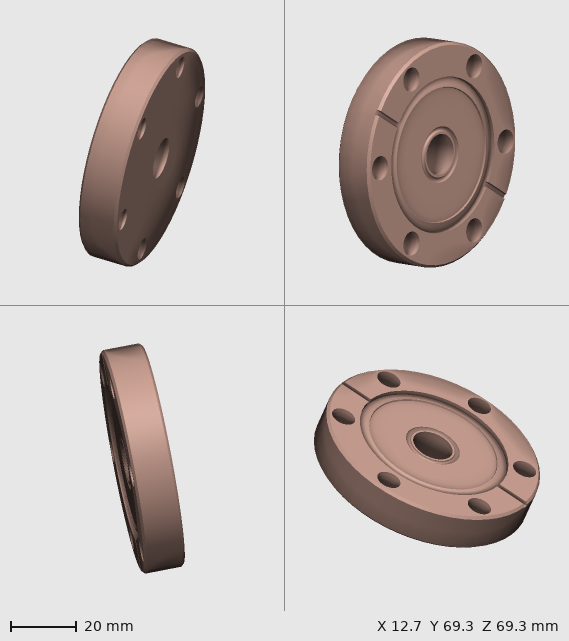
import cadquery as cq
import math

flange_diameter = 69.34
flange_thickness = 12.7
rim_chamfer = 0.8

recess_radius = 24.1
recess_depth = 1.6
recess_floor_width = 0.25
knife_radius = 21.0
knife_angle = 20.0
knife_tip_width = 0.15
inner_face_radius = 20.68
inner_face_depth = 1.1

bore_diameter = 12.8
relief_inner_radius = 7.07
relief_outer_radius = 8.70

bolt_count = 6
bolt_circle_diameter = 58.7
bolt_hole_diameter = 6.8
bolt_hole_mouth_diameter = 7.5
bolt_taper_depth = 2.7

leak_groove_width = 1.65
leak_groove_depth = 1.2
leak_groove_angle = 30.0

flange_radius = flange_diameter / 2
cone_outer_radius = recess_radius - recess_floor_width
cone_height = (cone_outer_radius - knife_radius) * math.tan(math.radians(knife_angle))
knife_tip_depth = recess_depth - cone_height


def revolve_about_x(profile):
    """Turn a profile drawn as (x, radius) about the flange axis."""
    return profile.close().revolve(360, (0, 0, 0), (1, 0, 0))


def flange_blank():
    disc = cq.Workplane("YZ").circle(flange_radius).extrude(flange_thickness)
    return disc.edges().chamfer(rim_chamfer)


def seal_recess():
    """Recess whose sloped floor rises inward to the knife edge, then drops to the inner face."""
    profile = (
        cq.Workplane("XY")
        .lineTo(0, recess_radius)
        .lineTo(recess_depth, recess_radius)
        .lineTo(recess_depth, cone_outer_radius)
        .lineTo(knife_tip_depth, knife_radius)
        .lineTo(knife_tip_depth, knife_radius - knife_tip_width)
        .lineTo(inner_face_depth, inner_face_radius)
        .lineTo(inner_face_depth, 0)
    )
    return revolve_about_x(profile)


def weld_relief():
    mid_radius = (relief_inner_radius + relief_outer_radius) / 2
    relief_radius = (relief_outer_radius - relief_inner_radius) / 2
    profile = (
        cq.Workplane("XY")
        .moveTo(inner_face_depth, relief_inner_radius)
        .threePointArc(
            (inner_face_depth + relief_radius, mid_radius),
            (inner_face_depth, relief_outer_radius),
        )
    )
    return revolve_about_x(profile)


def bore():
    return cq.Workplane("YZ").circle(bore_diameter / 2).extrude(flange_thickness)


def bolt_holes():
    """Through holes on the bolt circle, each with a tapered mouth."""
    hole_radius = bolt_hole_diameter / 2
    hole = cq.Workplane("YZ").circle(hole_radius).extrude(flange_thickness)
    mouth = cq.Solid.makeCone(
        bolt_hole_mouth_diameter / 2,
        hole_radius,
        bolt_taper_depth,
        pnt=cq.Vector(0, 0, 0),
        dir=cq.Vector(1, 0, 0),
    )
    tapered_hole = hole.union(mouth).val()
    first_hole = tapered_hole.translate(cq.Vector(0, bolt_circle_diameter / 2, 0))
    holes = cq.Workplane("YZ")
    for index in range(bolt_count):
        hole_angle = index * 360 / bolt_count
        holes = holes.add(first_hole.rotate(cq.Vector(0, 0, 0), cq.Vector(1, 0, 0), hole_angle))
    return holes.combine()


def leak_grooves():
    """Two opposite radial grooves, cut as one bar that stays clear of the seal recess."""
    bar_length = 2 * flange_diameter
    bar = (
        cq.Workplane("YZ")
        .rect(bar_length, leak_groove_width)
        .extrude(leak_groove_depth)
        .rotate((0, 0, 0), (1, 0, 0), leak_groove_angle)
    )
    recess_area = cq.Workplane("YZ").circle(recess_radius).extrude(leak_groove_depth)
    return bar.cut(recess_area)


result = (
    flange_blank()
    .cut(seal_recess())
    .cut(weld_relief())
    .cut(bore())
    .cut(bolt_holes())
    .cut(leak_grooves())
)